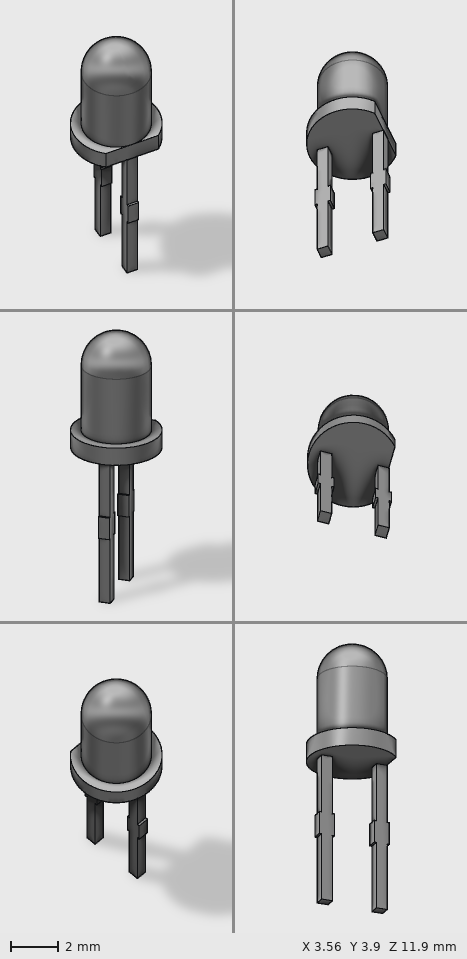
import cadquery as cq

total_height = 11.9
body_diameter = 3.0
body_radius = body_diameter / 2
body_height = 3.0

flange_diameter = 3.9
flange_thickness = 0.8
flat_distance = body_radius

lead_pitch = 2.53
lead_side = 0.5
stop_width = 0.7
stop_height = 1.0
stop_above_tip = 3.0

lead_length = total_height - flange_thickness - body_height - body_radius


def make_flange():
    """Disc resting on Z = 0, trimmed flat on its +X side."""
    disc = cq.Workplane("XY").circle(flange_diameter / 2).extrude(flange_thickness)
    trim = (
        cq.Workplane("XY")
        .center(flat_distance, 0)
        .box(flange_diameter, flange_diameter, flange_thickness, centered=(False, True, False))
    )
    return disc.cut(trim)


def make_body():
    """Cylinder with a hemispherical top, revolved about Z from half its profile."""
    shoulder = flange_thickness + body_height
    dome_mid = body_radius * 0.5 ** 0.5
    return (
        cq.Workplane("XZ")
        .moveTo(0, flange_thickness)
        .lineTo(body_radius, flange_thickness)
        .lineTo(body_radius, shoulder)
        .threePointArc((dome_mid, shoulder + dome_mid), (0, shoulder + body_radius))
        .close()
        .revolve(360, (0, 0, 0), (0, 1, 0))
    )


def make_lead(x):
    """Square lead hanging below the flange, widened along X at its stop."""
    tip = cq.Workplane("XY", origin=(x, 0, -lead_length))
    pin = tip.rect(lead_side, lead_side).extrude(lead_length)
    stop = tip.workplane(offset=stop_above_tip).rect(stop_width, lead_side).extrude(stop_height)
    return pin.union(stop)


result = make_flange().union(make_body())
for side in (-1, 1):
    result = result.union(make_lead(side * lead_pitch / 2))